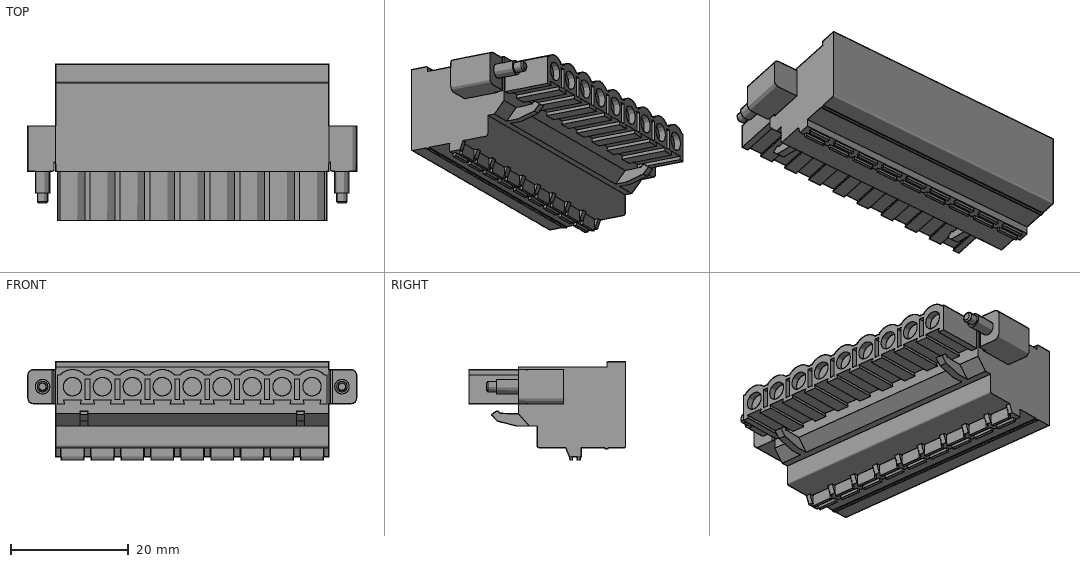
import cadquery as cq


overall_width = 55.9
pole_count = 9
pole_pitch = 5.1
end_margin = 0.6
body_width = pole_count * pole_pitch + end_margin

body_back = 18.2
body_bottom = 2.05
body_top = 15.8
overhang_bottom = 7.9
step_front = 3.2
step_top = 5.75
overhang_rear = 1.9
lip_top = 16.7
lip_depth = 3.2
lip_round = 0.3
front_round = 0.4
back_round = 0.3

plug_length = 8.4
plug_side_gap = 0.35
plug_bottom = 9.55
plug_shoulder = 14.5
socket_axis = 12.45
sleeve_radius = 2.9
socket_diameter = 3.15
socket_depth = 1.2
slot_width = 0.85
slot_bottom = 10.3
slot_height = 3.5
key_groove_depth = 0.65
key_groove_mouth = 2.7
key_groove_floor = 3.1

flange_depth = 7.7
flange_height = 5.8
flange_round = 1.0
relief_depth = 1.55
relief_body_depth = 1.3
relief_width = 0.3
relief_bevel_width = 0.35
relief_bevel_depth = 0.1
screw_spacing = 50.85
screw_diameter = 2.45
screw_length = 3.7
tip_diameter = 1.8
tip_length = 1.75
tip_chamfer = 0.3

latch_width = 1.35
latch_spacing = 36.75

foot_back = 10.75
foot_front = 8.65
foot_root_front = 8.05
foot_bottom = 0.55
foot_width = 3.85
rib_clearance = 0.1
web_recess = 0.4
rail_depth = 0.55
rail_taper = 0.1
rail_back = 10.55
ridge_back = 15.25
ridge_depth = 0.55
ridge_height = 0.15

pole_positions = [(i - (pole_count - 1) / 2) * pole_pitch for i in range(pole_count)]
divider_positions = [x + pole_pitch / 2 for x in pole_positions[:-1]]


def box(x_min, x_max, y_min, y_max, z_min, z_max):
    """Box between the given limits."""
    return cq.Workplane("XY").box(
        x_max - x_min, y_max - y_min, z_max - z_min, centered=False
    ).translate((x_min, y_min, z_min))


def side_prism(points, x_center, width):
    """Prism along X with a closed (Y, Z) outline."""
    return cq.Workplane("YZ", origin=(x_center - width / 2, 0, 0)).polyline(points).close().extrude(width)


def front_rod(x, z, diameter, y_front, y_back):
    """Round rod along Y from y_front to y_back."""
    plane = cq.Workplane("XZ", origin=(0, y_back, 0))
    return plane.center(x, z).circle(diameter / 2).extrude(y_back - y_front)


def make_body():
    """Housing with the rear lip, the overhanging front and rounded lower edges."""
    lip_front = body_back - lip_depth
    body = side_prism(
        [
            (0, body_top),
            (0, overhang_bottom),
            (overhang_rear, step_top),
            (step_front, step_top),
            (step_front, body_bottom),
            (body_back, body_bottom),
            (body_back, lip_top),
            (lip_front, lip_top),
            (lip_front, body_top),
        ],
        0,
        body_width,
    )
    for y, z, radius in (
        (step_front, body_bottom, front_round),
        (body_back, body_bottom, back_round),
        (lip_front, lip_top, lip_round),
    ):
        edge = cq.selectors.NearestToPointSelector((0, y, z))
        body = body.edges(edge).fillet(radius)
    return body


def make_plug():
    """Row of joined sleeves with sockets, dividing slots and dovetail key grooves."""
    half_width = body_width / 2 - plug_side_gap
    plug = box(-half_width, half_width, -plug_length, 0, plug_bottom, plug_shoulder)
    for x in pole_positions:
        sleeve = front_rod(x, socket_axis, 2 * sleeve_radius, -plug_length, 0)
        crown = box(x - pole_pitch / 2, x + pole_pitch / 2, -plug_length, 0, plug_shoulder, lip_top)
        plug = plug.union(sleeve.intersect(crown))

    for x in pole_positions:
        plug = plug.cut(
            front_rod(x, socket_axis, socket_diameter, -plug_length, socket_depth - plug_length)
        )
        key_groove = (
            cq.Workplane("XZ")
            .polyline(
                [
                    (x - key_groove_mouth / 2, plug_bottom),
                    (x + key_groove_mouth / 2, plug_bottom),
                    (x + key_groove_floor / 2, plug_bottom + key_groove_depth),
                    (x - key_groove_floor / 2, plug_bottom + key_groove_depth),
                ]
            )
            .close()
            .extrude(plug_length)
        )
        plug = plug.cut(key_groove)

    for x in divider_positions:
        slot = box(
            x - slot_width / 2, x + slot_width / 2, -plug_length, 0, slot_bottom, slot_bottom + slot_height
        )
        plug = plug.cut(slot)
    return plug


def make_flange():
    """Right-hand screw flange with a relief notch beside the body and a stepped screw."""
    inner = body_width / 2
    outer = overall_width / 2
    flange = box(
        inner, outer, 0, flange_depth, socket_axis - flange_height / 2, socket_axis + flange_height / 2
    )
    flange = flange.edges("|Y and >X").fillet(flange_round)
    relief = (
        cq.Workplane("XY")
        .polyline(
            [
                (inner, 0),
                (inner + relief_width + relief_bevel_width, 0),
                (inner + relief_width, relief_bevel_depth),
                (inner + relief_width, relief_depth),
                (inner, relief_body_depth),
            ]
        )
        .close()
        .extrude(lip_top)
    )
    flange = flange.cut(relief)

    screw_x = screw_spacing / 2
    shank = front_rod(screw_x, socket_axis, screw_diameter, -screw_length, 0)
    tip = front_rod(screw_x, socket_axis, tip_diameter, -screw_length - tip_length, -screw_length)
    tip = tip.faces("<Y").chamfer(tip_chamfer)
    return flange.union(shank).union(tip)


def make_latch(x):
    """Lever reaching forward from the sloped underside, with a catch at its tip."""
    outline = [
        (0, overhang_bottom),
        (-1.6, overhang_bottom),
        (-3.15, 8.0),
        (-3.4, 8.3),
        (-3.8, 8.25),
        (-4.6, 7.7),
        (-3.5, 6.6),
        (-0.2, step_top),
        (overhang_rear, step_top),
    ]
    return side_prism(outline, x, latch_width)


def make_feet():
    """Railed feet and tapered ribs joined by a recessed web, with a low ridge behind."""
    feet = box(
        -body_width / 2,
        body_width / 2,
        ridge_back - ridge_depth,
        ridge_back,
        body_bottom - ridge_height,
        body_bottom,
    )
    web_front = foot_front + web_recess
    web = box(-body_width / 2, body_width / 2, web_front, foot_back, foot_bottom, body_bottom)
    feet = feet.union(web)
    rib_outline = [
        (foot_back, body_bottom),
        (foot_back, foot_bottom),
        (foot_front, foot_bottom),
        (foot_root_front, body_bottom),
    ]
    front_rail_outline = [
        (foot_front, foot_bottom),
        (foot_front + rail_taper, 0),
        (foot_front + rail_depth, 0),
        (foot_front + rail_depth, foot_bottom),
    ]
    for x in pole_positions:
        left = x - foot_width / 2
        right = x + foot_width / 2
        feet = feet.union(box(left, right, foot_front, foot_back, foot_bottom, body_bottom))
        feet = feet.union(box(left, right, rail_back - rail_depth, rail_back, 0, foot_bottom))
        feet = feet.union(side_prism(front_rail_outline, x, foot_width))

    rib_width = pole_pitch - foot_width - 2 * rib_clearance
    for x in divider_positions:
        feet = feet.union(side_prism(rib_outline, x, rib_width))

    end_rib_width = body_width / 2 - pole_positions[-1] - foot_width / 2 - rib_clearance
    end_rib_x = (body_width - end_rib_width) / 2
    for x in (-end_rib_x, end_rib_x):
        feet = feet.union(side_prism(rib_outline, x, end_rib_width))
    return feet


right_flange = make_flange()
result = make_body().union(make_plug()).union(make_feet())
result = result.union(right_flange).union(right_flange.mirror("YZ"))
for latch_x in (-latch_spacing / 2, latch_spacing / 2):
    result = result.union(make_latch(latch_x))